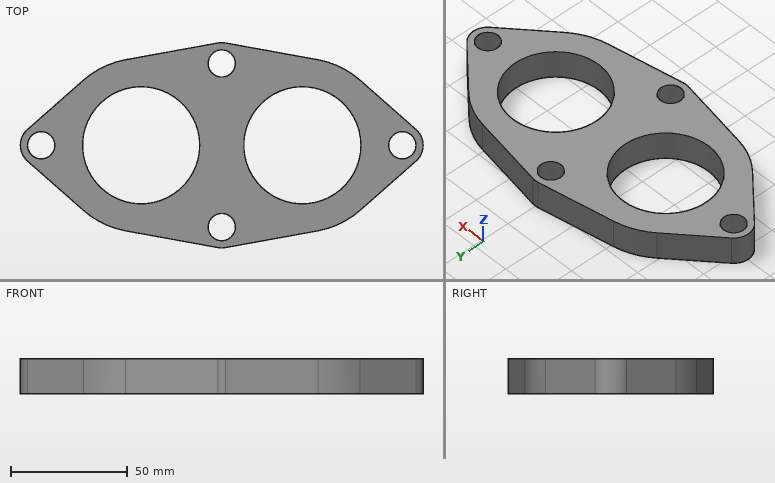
import cadquery as cq
import math

length = 172.5
width = 88.0
thickness = 15.0
bore_diameter = 50.0
bore_spacing = 69.0
bore_lobe_radius = 37.3
bolt_hole_diameter = 11.5
bolt_lobe_radius = 9.0

bore_x = bore_spacing / 2
end_bolt_x = length / 2 - bolt_lobe_radius
side_bolt_y = width / 2 - bolt_lobe_radius

bore_centers = [(-bore_x, 0), (bore_x, 0)]
bolt_centers = [(-end_bolt_x, 0), (end_bolt_x, 0), (0, -side_bolt_y), (0, side_bolt_y)]


def tangent_normal_angle(center_a, radius_a, center_b, radius_b):
    """Direction of the outward normal of the outer tangent, going counterclockwise from a to b."""
    dx = center_b[0] - center_a[0]
    dy = center_b[1] - center_a[1]
    return math.atan2(dy, dx) - math.acos((radius_a - radius_b) / math.hypot(dx, dy))


def point_on_circle(center, radius, angle):
    return (center[0] + radius * math.cos(angle), center[1] + radius * math.sin(angle))


def make_plate():
    """Plate bounded by the lobe arcs and the straight tangents that join them."""
    lobes = [
        ((end_bolt_x, 0), bolt_lobe_radius),
        ((bore_x, 0), bore_lobe_radius),
        ((0, side_bolt_y), bolt_lobe_radius),
        ((-bore_x, 0), bore_lobe_radius),
        ((-end_bolt_x, 0), bolt_lobe_radius),
        ((-bore_x, 0), bore_lobe_radius),
        ((0, -side_bolt_y), bolt_lobe_radius),
        ((bore_x, 0), bore_lobe_radius),
    ]
    count = len(lobes)
    normals = [tangent_normal_angle(*lobes[i], *lobes[(i + 1) % count]) for i in range(count)]

    outline = cq.Workplane("XY").moveTo(*point_on_circle(*lobes[0], normals[-1]))
    for i, (center, radius) in enumerate(lobes):
        start_angle = normals[i - 1]
        sweep = (normals[i] - start_angle) % (2 * math.pi)
        middle = point_on_circle(center, radius, start_angle + sweep / 2)
        end = point_on_circle(center, radius, normals[i])
        outline = outline.threePointArc(middle, end)
        if i < count - 1:
            outline = outline.lineTo(*point_on_circle(*lobes[i + 1], normals[i]))
    return outline.close().extrude(thickness)


def make_holes(centers, diameter):
    return cq.Workplane("XY").pushPoints(centers).circle(diameter / 2).extrude(thickness)


result = (
    make_plate()
    .cut(make_holes(bore_centers, bore_diameter))
    .cut(make_holes(bolt_centers, bolt_hole_diameter))
)